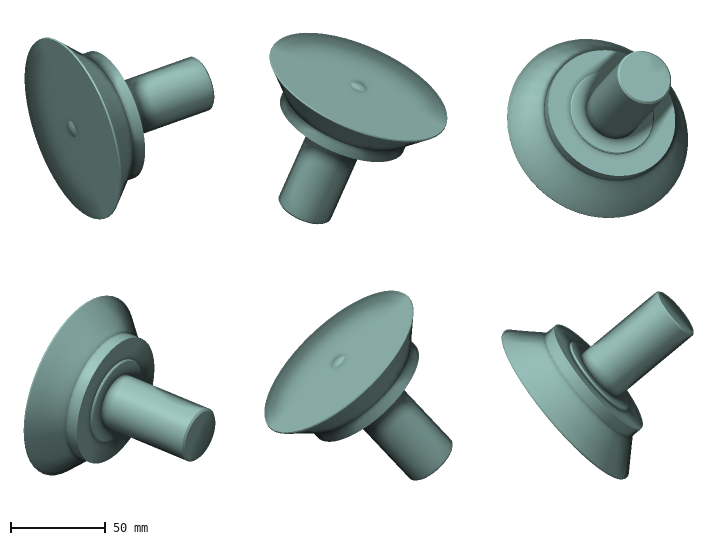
import cadquery as cq

rim_diameter = 100.95
rim_width = 0.9
rim_bevel_width = 0.6
rim_bevel_depth = 0.22
flange_diameter = 71.0
flange_front = 17.0
flange_back = 24.0
collar_diameter = 46.6
collar_height = 1.25
collar_chamfer = 0.6
shaft_diameter = 30.0
shaft_chamfer = 1.0
dome_diameter = 9.0
dome_height = 1.0
overall_length = 79.65

shaft_end = overall_length - dome_height
collar_back = flange_back + collar_height


def make_body():
    """Conical head, flange, collar and shaft turned in one piece."""
    rim_radius = rim_diameter / 2
    flange_radius = flange_diameter / 2
    collar_radius = collar_diameter / 2
    shaft_radius = shaft_diameter / 2
    profile = (
        cq.Workplane("XY")
        .moveTo(0, 0)
        .lineTo(rim_radius - rim_bevel_depth, 0)
        .lineTo(rim_radius, rim_bevel_width)
        .lineTo(rim_radius, rim_width)
        .lineTo(flange_radius, flange_front)
        .lineTo(flange_radius, flange_back)
        .lineTo(collar_radius, flange_back)
        .lineTo(collar_radius, collar_back - collar_chamfer)
        .lineTo(collar_radius - collar_chamfer, collar_back)
        .lineTo(shaft_radius, collar_back)
        .lineTo(shaft_radius, shaft_end - shaft_chamfer)
        .lineTo(shaft_radius - shaft_chamfer, shaft_end)
        .lineTo(0, shaft_end)
        .close()
    )
    return profile.revolve(360, (0, 0, 0), (0, 1, 0))


def make_dome():
    """Sphere buried in the body so that only a shallow cap stands proud of the disc face."""
    cap_radius = dome_diameter / 2
    sphere_radius = (cap_radius**2 + dome_height**2) / (2 * dome_height)
    center_y = sphere_radius - dome_height
    return cq.Workplane("XY").sphere(sphere_radius).translate((0, center_y, 0))


result = make_body().union(make_dome())